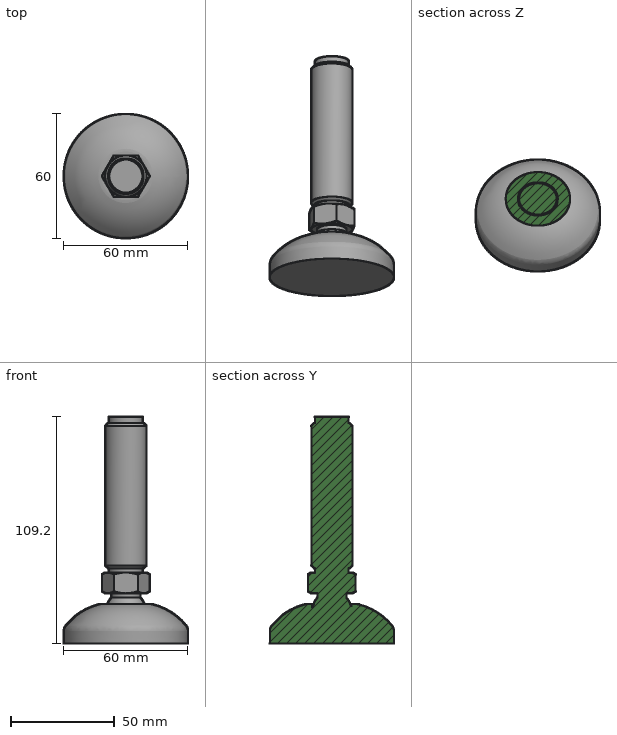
import cadquery as cq
import math

total_height = 109.2
stud_length = 75.0
hex_height = 10.0
base_height = 19.1

base_radius = 60.0 / 2
pad_height = 2.4
dome_radius = 30.0
dome_center_offset = 5.7
dome_center_z = -10.15
rim_fillet = 4.2
crown_fillet = 5.5

ball_radius = 19.0 / 2
neck_radius = 14.3 / 2
neck_bottom_z = 22.1
socket_radius = 18.9 / 2
socket_depth = 2.0

hex_across_flats = 20.0
hex_chamfer_angle = 30.0

thread_radius = 20.0 / 2
relief_radius = 16.5 / 2
relief_height = 2.0
tip_radius = 16.5 / 2
tip_height = 3.0
tip_chamfer = 0.25
thread_lead_in = 1.42

hex_top_z = total_height - stud_length
hex_bottom_z = hex_top_z - hex_height
hex_across_corners = hex_across_flats / math.cos(math.radians(30))
ball_center_z = neck_bottom_z - math.sqrt(ball_radius**2 - neck_radius**2)


def dome_height(radius):
    """Height of the dome surface at a given distance from the axis."""
    return dome_center_z + math.sqrt(dome_radius**2 - (radius - dome_center_offset) ** 2)


def make_pad():
    """Flat floor pad, flush with the rim of the shell above it."""
    return cq.Workplane("XY").circle(base_radius).extrude(pad_height)


def make_shell():
    """Solid shell: plain rim, dome with rounded edges and a shallow socket on top."""
    crown_radius = dome_center_offset + math.sqrt(dome_radius**2 - (base_height - dome_center_z) ** 2)
    rim_z = dome_height(base_radius)
    mid_radius = (base_radius + crown_radius) / 2
    shell = (
        cq.Workplane("XZ")
        .moveTo(0, pad_height)
        .lineTo(base_radius, pad_height)
        .lineTo(base_radius, rim_z)
        .threePointArc((mid_radius, dome_height(mid_radius)), (crown_radius, base_height))
        .lineTo(0, base_height)
        .close()
        .revolve(360, (0, 0), (0, 1))
    )
    shell = shell.faces(">Z").edges().fillet(crown_fillet)
    rim_center = (0, 0, rim_z)
    shell = shell.edges(cq.NearestToPointSelector(rim_center)).fillet(rim_fillet)
    return shell.faces(">Z").workplane().hole(2 * socket_radius, socket_depth)


def make_ball_neck():
    """Ball rising out of the base and the plain neck up to the hexagon."""
    ball = cq.Workplane("XY").sphere(ball_radius).translate((0, 0, ball_center_z))
    neck = (
        cq.Workplane("XY", origin=(0, 0, ball_center_z))
        .circle(neck_radius)
        .extrude(hex_bottom_z - ball_center_z)
    )
    return ball.union(neck)


def make_hexagon():
    """Wrench hexagon with its corners turned off conically at both ends."""
    prism = (
        cq.Workplane("XY", origin=(0, 0, hex_bottom_z))
        .polygon(6, hex_across_corners)
        .extrude(hex_height)
    )
    corner_depth = (hex_across_corners - hex_across_flats) / 2
    corner_drop = corner_depth * math.tan(math.radians(hex_chamfer_angle))
    turned_blank = (
        cq.Workplane("XY", origin=(0, 0, hex_bottom_z))
        .circle(hex_across_corners / 2)
        .extrude(hex_height)
        .faces("<Z or >Z")
        .chamfer(corner_drop, corner_depth)
    )
    return prism.intersect(turned_blank)


def make_stud():
    """Relief groove, thread cylinder with tapered ends, and turned-down tip."""
    thread_start_z = hex_top_z + relief_height
    thread_end_z = total_height - tip_height
    return (
        cq.Workplane("XZ")
        .moveTo(0, hex_top_z)
        .lineTo(relief_radius, hex_top_z)
        .lineTo(relief_radius, thread_start_z)
        .lineTo(thread_radius - thread_lead_in, thread_start_z)
        .lineTo(thread_radius, thread_start_z + thread_lead_in)
        .lineTo(thread_radius, thread_end_z - thread_lead_in)
        .lineTo(thread_radius - thread_lead_in, thread_end_z)
        .lineTo(tip_radius, thread_end_z)
        .lineTo(tip_radius, total_height - tip_chamfer)
        .lineTo(tip_radius - tip_chamfer, total_height)
        .lineTo(0, total_height)
        .close()
        .revolve(360, (0, 0), (0, 1))
    )


result = make_pad()
for section in (make_shell(), make_ball_neck(), make_hexagon(), make_stud()):
    result = result.union(section, clean=False)